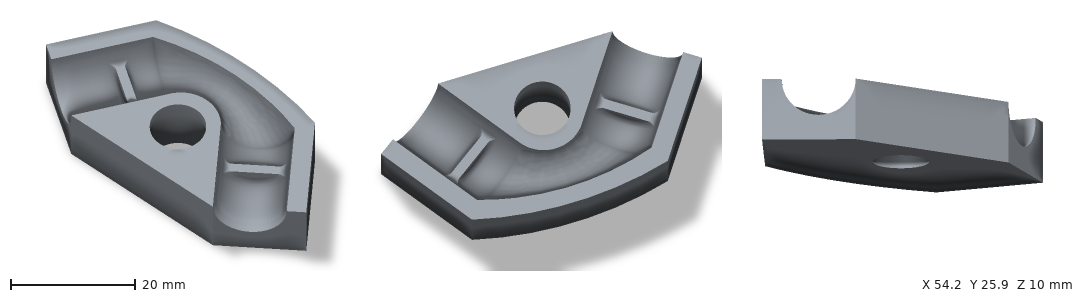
import cadquery as cq
import math

thickness = 10.0
front_y = -9.1
half_width = 27.1
half_base = 14.75
leg_angle = 55.0
leg_length = 18.45
back_y = 16.8
hole_diameter = 9.1

channel_radius = 5.95
straight_length = 17.0
inner_rim_y = 7.15
outer_rim_y = 14.05
bend_sections = 7

rib_distance = 11.0
rib_width = 1.55
rib_top_depth = 3.5
rib_fillet = 0.8

leg_cos = math.cos(math.radians(leg_angle))
leg_sin = math.sin(math.radians(leg_angle))
end_width = (half_width - half_base) / leg_sin


def leg_point(along, across):
    """Left-leg position: along from the end face, across from the inner corner."""
    x = -half_base + along * leg_cos - across * leg_sin
    y = front_y + along * leg_sin + across * leg_cos
    return x, y


def make_body():
    outer_x, outer_y = leg_point(0, end_width)
    shoulder_x, shoulder_y = leg_point(leg_length, end_width)
    return (
        cq.Workplane("XY")
        .moveTo(-half_base, front_y)
        .lineTo(outer_x, outer_y)
        .lineTo(shoulder_x, shoulder_y)
        .threePointArc((0, back_y), (-shoulder_x, shoulder_y))
        .lineTo(-outer_x, outer_y)
        .lineTo(half_base, front_y)
        .close()
        .extrude(-thickness)
    )


def make_straight_channel():
    start_x, start_y = leg_point(0, channel_radius)
    end_plane = cq.Plane((start_x, start_y, 0), (leg_sin, -leg_cos, 0), (leg_cos, leg_sin, 0))
    return cq.Workplane(end_plane).circle(channel_radius).extrude(straight_length)


def rim_height(x, end_x, end_y, mid_y):
    """Y at x on the arc through (-end_x, end_y), (0, mid_y) and (end_x, end_y)."""
    rise = mid_y - end_y
    radius = (end_x**2 + rise**2) / (2 * rise)
    return mid_y - radius + math.sqrt(radius**2 - x**2)


def make_bend():
    """Loft of circles that span from the inner rim arc to the outer rim arc."""
    inner_x, inner_y = leg_point(straight_length, 0)
    outer_x, outer_y = leg_point(straight_length, 2 * channel_radius)
    wires = []
    for step in range(bend_sections):
        fraction = 1 - 2 * step / (bend_sections - 1)
        start_x = fraction * inner_x
        end_x = fraction * outer_x
        start = cq.Vector(start_x, rim_height(start_x, inner_x, inner_y, inner_rim_y))
        end = cq.Vector(end_x, rim_height(end_x, outer_x, outer_y, outer_rim_y))
        span = end - start
        normal = span.cross(cq.Vector(0, 0, 1))
        plane = cq.Plane((start + end) * 0.5, span, normal)
        wires.append(cq.Workplane(plane).circle(span.Length / 2).wire().val())
    return cq.Workplane(cq.Solid.makeLoft(wires))


def make_leg_cutter():
    """Straight channel of one leg, less the flat-topped rib with its rounded foot."""
    centre_x, centre_y = leg_point(rib_distance, channel_radius)
    rib = (
        cq.Workplane("XY", origin=(centre_x, centre_y, -rib_top_depth))
        .transformed(rotate=(0, 0, leg_angle))
        .rect(rib_width, 2 * channel_radius)
        .extrude(-channel_radius)
    )
    cutter = make_straight_channel().cut(rib)
    along = cq.Vector(leg_cos, leg_sin, 0)
    centre = cq.Vector(centre_x, centre_y, 0)

    def is_foot(edge):
        """True for the rib edges on the channel wall: two arcs and two short lines."""
        near_rib = abs((edge.Center() - centre).dot(along)) < rib_width
        runs_along = abs(edge.tangentAt(0.5).dot(along)) > 0.5
        return near_rib and (edge.geomType() == "CIRCLE" or runs_along)

    foot = [edge for edge in cutter.edges().vals() if is_foot(edge)]
    return cutter.newObject(foot).fillet(rib_fillet)


body = make_body()
body = body.cut(make_bend())
leg_cutter = make_leg_cutter()
body = body.cut(leg_cutter).cut(leg_cutter.mirror("YZ"))
result = body.cut(cq.Workplane("XY").circle(hole_diameter / 2).extrude(-thickness))